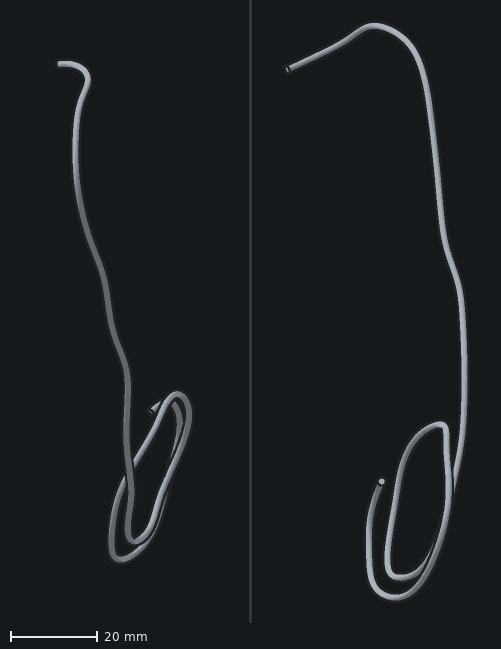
import cadquery as cq

WIRE_RADIUS = 1.0

HOOK = [
    (-15.2, 12.7, 131.6),
    (-9.9, 10.3, 134.8),
    (-4.9, 3.5, 137.7),
    (-3.8, -5.1, 138.3),
    (-2.1, -13.1, 134.6),
    (0.1, -18.9, 128.3),
]

SHAFT = [
    (2.2, -21.0, 119.8),
    (4.0, -20.6, 111.1),
    (6.8, -18.8, 98.0),
    (8.0, -18.5, 87.4),
    (9.5, -18.5, 80.1),
    (12.2, -18.9, 71.8),
    (13.0, -19.8, 63.2),
    (13.0, -20.6, 52.2),
    (13.4, -19.8, 40.8),
]

INNER_TURN = [
    (13.4, -18.4, 31.9),
    (12.2, -17.1, 23.2),
    (11.4, -14.5, 14.6),
    (11.5, -8.6, 8.3),
    (11.8, -0.3, 5.8),
    (11.3, 8.3, 7.9),
    (12.8, 14.6, 13.8),
    (14.7, 17.1, 22.3),
    (15.5, 15.5, 31.0),
    (14.7, 11.0, 38.3),
    (14.5, 3.2, 42.3),
    (14.6, -5.5, 41.9),
    (12.5, -12.8, 37.3),
]

OUTER_TURN = [
    (10.0, -17.4, 29.9),
    (9.2, -19.8, 21.4),
    (9.0, -18.9, 12.4),
    (9.7, -13.0, 5.7),
    (10.8, -4.9, 2.2),
    (11.3, 3.6, 1.5),
    (10.8, 12.0, 4.5),
    (10.8, 18.1, 10.0),
    (11.5, 21.0, 18.9),
    (10.7, 18.9, 27.0),
    (9.2, 12.0, 31.9),
    (8.3, 9.6, 31.9),
]


def build_centreline(points):
    """Smooth curve through all the bend points."""
    return cq.Workplane("XY").spline([cq.Vector(*p) for p in points])


def build_wire(points, radius):
    """Round wire with flat square-cut ends along the centreline."""
    centreline = build_centreline(points)
    path = centreline.val()
    end_plane = cq.Plane(origin=path.startPoint(), normal=path.tangentAt(0))
    return cq.Workplane(end_plane).circle(radius).sweep(centreline)


result = build_wire(HOOK + SHAFT + INNER_TURN + OUTER_TURN, WIRE_RADIUS)